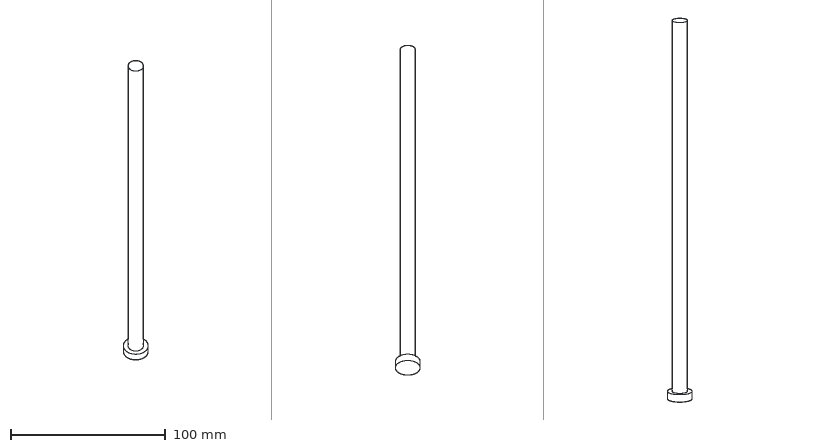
import cadquery as cq

total_length = 255.0
head_diameter = 16.0
head_height = 5.0
shaft_diameter = 10.0

head = cq.Workplane("XY").circle(head_diameter / 2).extrude(head_height)

shaft = cq.Workplane("XY").circle(shaft_diameter / 2).extrude(total_length)

result = head.union(shaft)